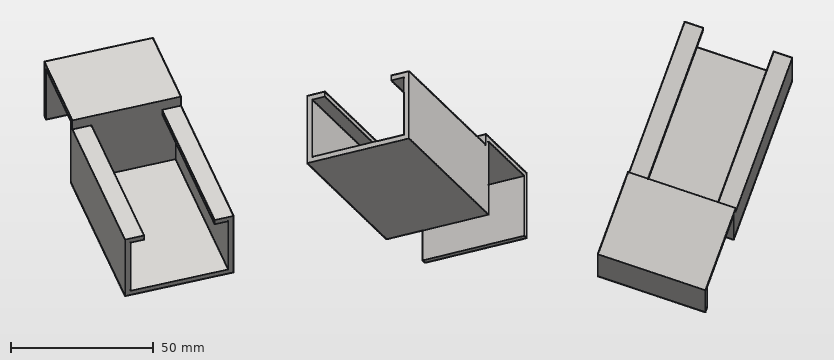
import cadquery as cq

length = 92.0
width = 40.0
height = 31.3

wall = 2.0

hook_length = 32.0
hook_leg_height = 25.9

channel_height = 27.0
lip_width = 7.0

channel_start = hook_length - wall
channel_length = length - channel_start
hook_leg_bottom = height - hook_leg_height


def block(x, z, size_x, size_y, size_z):
    """Box centred on Y, with its lowest X and Z corner at (x, z)."""
    return cq.Workplane("XY").box(size_x, size_y, size_z, centered=(False, True, False)).translate((x, 0, z))


def make_hook():
    outer_leg = block(0, hook_leg_bottom, wall, width, hook_leg_height)
    top_plate = block(0, height - wall, hook_length, width, wall)
    inner_leg = block(channel_start, 0, wall, width, height)
    return outer_leg.union(top_plate).union(inner_leg)


def make_channel():
    body = block(channel_start, 0, channel_length, width, channel_height)
    cavity = block(hook_length, wall, length - hook_length, width - 2 * wall, channel_height - 2 * wall)
    top_slot = block(hook_length, wall, length - hook_length, width - 2 * lip_width, channel_height)
    return body.cut(cavity).cut(top_slot)


result = make_hook().union(make_channel())